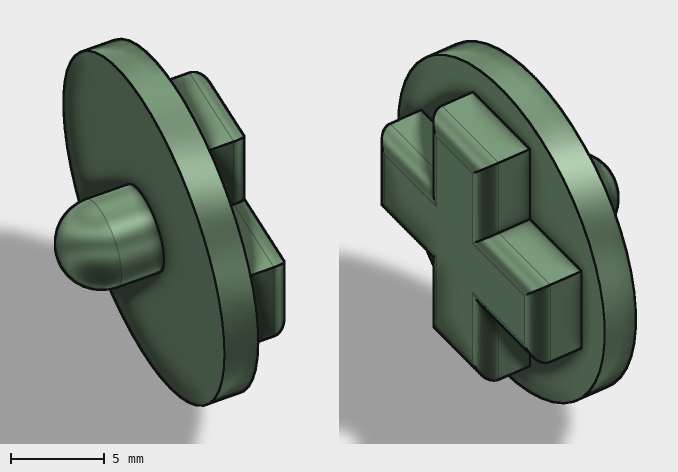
import cadquery as cq
import math

disc_diameter = 20.0
disc_thickness = 2.0
pin_diameter = 5.0
pin_length = 5.0
cross_span = 15.5
cross_arm_width = 5.5
cross_height = 3.0
cross_edge_radius = 1.0

pin_radius = pin_diameter / 2
cross_top = disc_thickness + cross_height


def make_disc():
    return cq.Workplane("XZ").circle(disc_diameter / 2).extrude(-disc_thickness)


def make_pin():
    """Pin pointing toward -Y with a hemispherical tip."""
    shank_end = -(pin_length - pin_radius)
    arc_reach = pin_radius * math.sqrt(0.5)
    half_profile = (
        cq.Workplane("XY")
        .lineTo(pin_radius, 0)
        .lineTo(pin_radius, shank_end)
        .threePointArc((arc_reach, shank_end - arc_reach), (0, -pin_length))
        .close()
    )
    return half_profile.revolve(360, (0, 0, 0), (0, 1, 0))


def make_arm(length_x, length_z):
    """Bar of the cross, starting inside the disc so that the two join fully."""
    return cq.Workplane("XY").box(length_x, cross_top, length_z).translate((0, cross_top / 2, 0))


def make_cross():
    """Two equal crossing bars, rounded along every edge of the +Y face."""
    cross = make_arm(cross_span, cross_arm_width).union(make_arm(cross_arm_width, cross_span))
    return cross.faces(">Y").edges().fillet(cross_edge_radius)


result = make_disc().union(make_pin()).union(make_cross())